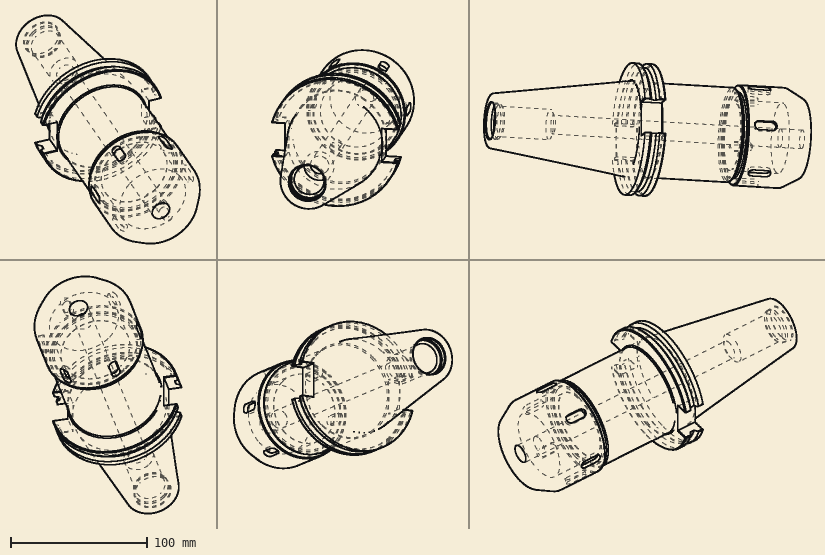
import cadquery as cq
import math

LENGTH = 236.6

TAPER_LENGTH = 102.7
TAPER_LARGE_R = 70.3 / 2
TAPER_RATIO = 7 / 24
TAPER_SMALL_R = TAPER_LARGE_R - TAPER_LENGTH * TAPER_RATIO / 2
TAPER_END_FILLET = 2.0
COLLAR_R = TAPER_LARGE_R
COLLAR_ROOT_FILLET = 1.0

FLANGE_START = 105.0
FLANGE_WIDTH = 15.9
FLANGE_END = FLANGE_START + FLANGE_WIDTH
FLANGE_R = 97.3 / 2
FLANGE_CHAMFER = 0.7
GROOVE_CENTRE = 112.6
GROOVE_R = 45.7
GROOVE_FLOOR_WIDTH = 3.3
GROOVE_MOUTH_WIDTH = 7.0
SLOT_WIDTH = 25.0
SLOT_EDGE_CHAMFER = 0.5
FRONT_SLOT_FLOOR = 35.5
BACK_SLOT_FLOOR = 37.2

BODY_R = 69.8 / 2
BODY_END = 183.2
BODY_CHAMFER = 1.0
BODY_ROOT_FILLET = 1.0
CORE_R = 26.0
CORE_END = 220.0

PILOT_MOUTH_R = 28.0 / 2
PILOT_R = 26.7 / 2
PILOT_DEPTH = 4.3
STEP_R = 26.3 / 2
STEP_DEPTH = 6.2
THREAD_R = 22.2 / 2
THREAD_START = 7.8
THREAD_END = 45.0
THROUGH_R = 13.7 / 2
DRILL_POINT_ANGLE = 118.0

NUT_START = 186.2
NUT_R = 74.0 / 2
NUT_REAR_CHAMFER = 0.7
NUT_COLLAR_START = 183.6
NUT_COLLAR_R = 32.0
NUT_COLLAR_CHAMFER = 1.0
NOSE_START = 221.7
NOSE_END_R = 28.9
NOSE_EDGE_FILLET = 5.2
NOSE_END_FILLET = 3.5
WRENCH_SLOT_COUNT = 6
WRENCH_SLOT_START = 191.2
WRENCH_SLOT_LENGTH = 16.8
WRENCH_SLOT_WIDTH = 6.6
WRENCH_SLOT_FLOOR = 33.5


def turned(points):
    """Revolve a closed outline of (x, radius) points about the X axis."""
    return cq.Workplane("XY").polyline(points).close().revolve(360, (0, 0, 0), (1, 0, 0))


def rod(radius, start, end):
    return cq.Workplane("YZ", origin=(start, 0, 0)).circle(radius).extrude(end - start)


def taper():
    cone = turned([(0, 0), (0, TAPER_SMALL_R), (TAPER_LENGTH, TAPER_LARGE_R), (TAPER_LENGTH, 0)])
    return cone.faces("<X").edges().fillet(TAPER_END_FILLET)


def v_groove():
    half_floor = GROOVE_FLOOR_WIDTH / 2
    half_mouth = GROOVE_MOUTH_WIDTH / 2
    return turned([
        (GROOVE_CENTRE - half_floor, GROOVE_R),
        (GROOVE_CENTRE - half_mouth, FLANGE_R),
        (GROOVE_CENTRE + half_mouth, FLANGE_R),
        (GROOVE_CENTRE + half_floor, GROOVE_R),
    ])


def drive_slot(side, floor):
    """Cutter for a radial slot open to -Y (side = -1) or +Y (side = 1), wider at its flange edges."""
    middle_x = FLANGE_START + FLANGE_WIDTH / 2
    middle_y = side * (floor + FLANGE_R / 2)
    cutter = cq.Workplane("XY", origin=(middle_x, middle_y, 0)).box(FLANGE_WIDTH, FLANGE_R, SLOT_WIDTH)
    half_width = SLOT_WIDTH / 2
    for face_x, inward in ((FLANGE_START, 1), (FLANGE_END, -1)):
        bevel = (
            cq.Workplane("XZ", origin=(0, middle_y + FLANGE_R / 2, 0))
            .moveTo(face_x, half_width + SLOT_EDGE_CHAMFER)
            .lineTo(face_x + inward * SLOT_EDGE_CHAMFER, half_width)
            .lineTo(face_x + inward * SLOT_EDGE_CHAMFER, -half_width)
            .lineTo(face_x, -half_width - SLOT_EDGE_CHAMFER)
            .close()
            .extrude(FLANGE_R)
        )
        cutter = cutter.union(bevel)
    edge_y = math.sqrt(FLANGE_R**2 - (half_width + SLOT_EDGE_CHAMFER) ** 2)
    rim_bevel = (
        cq.Workplane("YZ", origin=(FLANGE_START, 0, 0))
        .moveTo(side * (edge_y - SLOT_EDGE_CHAMFER), half_width)
        .lineTo(side * edge_y, half_width + SLOT_EDGE_CHAMFER)
        .lineTo(side * FLANGE_R, half_width + SLOT_EDGE_CHAMFER)
        .lineTo(side * FLANGE_R, -half_width - SLOT_EDGE_CHAMFER)
        .lineTo(side * edge_y, -half_width - SLOT_EDGE_CHAMFER)
        .lineTo(side * (edge_y - SLOT_EDGE_CHAMFER), -half_width)
        .close()
        .extrude(FLANGE_WIDTH)
    )
    return cutter.union(rim_bevel)


def flange():
    disk = rod(FLANGE_R, FLANGE_START, FLANGE_END).faces(">X").edges().chamfer(FLANGE_CHAMFER)
    disk = disk.cut(v_groove())
    disk = disk.cut(drive_slot(-1, FRONT_SLOT_FLOOR))
    return disk.cut(drive_slot(1, BACK_SLOT_FLOOR))


def root_disk(face_x, outward, radius, fillet):
    """Disk with a concave quarter-round rim, filling the corner of a flange face and a cylinder."""
    middle = fillet * (1 - math.sqrt(0.5))
    return (
        cq.Workplane("XY")
        .moveTo(face_x, 0)
        .lineTo(face_x, radius + fillet)
        .threePointArc((face_x + outward * middle, radius + middle), (face_x + outward * fillet, radius))
        .lineTo(face_x + outward * fillet, 0)
        .close()
        .revolve(360, (0, 0, 0), (1, 0, 0))
    )


def body():
    straight = rod(BODY_R, TAPER_LENGTH, BODY_END).faces(">X").edges().chamfer(BODY_CHAMFER)
    return straight.union(root_disk(FLANGE_END, 1, BODY_R, BODY_ROOT_FILLET))


def collar():
    straight = rod(COLLAR_R, TAPER_LENGTH, FLANGE_START)
    return straight.union(root_disk(FLANGE_START, -1, COLLAR_R, COLLAR_ROOT_FILLET))


def shank_bore():
    drill_point = (THREAD_R - THROUGH_R) / math.tan(math.radians(DRILL_POINT_ANGLE / 2))
    return turned([
        (0, 0),
        (0, PILOT_MOUTH_R),
        (PILOT_MOUTH_R - PILOT_R, PILOT_R),
        (PILOT_DEPTH, PILOT_R),
        (PILOT_DEPTH, STEP_R),
        (STEP_DEPTH, STEP_R),
        (THREAD_START, THREAD_R),
        (THREAD_END, THREAD_R),
        (THREAD_END + drill_point, THROUGH_R),
        (CORE_END, THROUGH_R),
        (CORE_END, 0),
    ])


def make_shank():
    core = rod(CORE_R, BODY_END, CORE_END)
    solid = taper().union(collar()).union(flange()).union(body()).union(core)
    return solid.cut(shank_bore())


def nut_shell():
    shell = turned([
        (NUT_START, 0),
        (NUT_START, NUT_R),
        (NOSE_START, NUT_R),
        (LENGTH, NOSE_END_R),
        (LENGTH, 0),
    ])
    shell = shell.faces(">X").edges().fillet(NOSE_END_FILLET)
    shell = shell.faces("<X").edges().chamfer(NUT_REAR_CHAMFER)
    nose_edge = cq.selectors.NearestToPointSelector((NOSE_START, 0, 0))
    return shell.edges(nose_edge).fillet(NOSE_EDGE_FILLET)


def wrench_slot(angle):
    """Cutter for one flat-floored slot, turned about X from the -Y direction."""
    middle = WRENCH_SLOT_START + WRENCH_SLOT_LENGTH / 2
    cutter = (
        cq.Workplane("XZ", origin=(middle, -WRENCH_SLOT_FLOOR, 0))
        .slot2D(WRENCH_SLOT_LENGTH, WRENCH_SLOT_WIDTH)
        .extrude(NUT_R)
    )
    return cutter.rotate((0, 0, 0), (1, 0, 0), angle)


def make_nut():
    collar = rod(NUT_COLLAR_R, NUT_COLLAR_START, NUT_START).faces("<X").edges().chamfer(NUT_COLLAR_CHAMFER)
    solid = nut_shell().union(collar)
    for index in range(WRENCH_SLOT_COUNT):
        solid = solid.cut(wrench_slot(index * 360 / WRENCH_SLOT_COUNT))
    solid = solid.cut(rod(CORE_R, NUT_COLLAR_START, CORE_END))
    return solid.cut(rod(THROUGH_R, CORE_END, LENGTH))


shank = make_shank()
nut = make_nut()
result = cq.Compound.makeCompound([shank.solids().val(), nut.solids().val()])